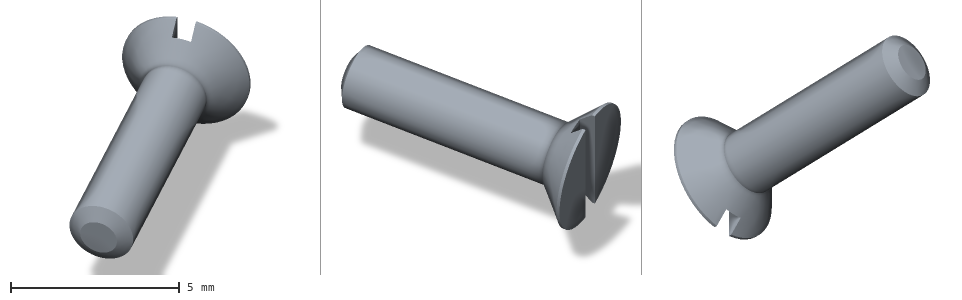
import cadquery as cq
import math

length = 8
shank_radius = 1.0
head_radius = 2 * shank_radius
rim_thickness = 0.1
slot_width = 0.6
slot_depth = 0.5
tip_radius = 0.58
tip_angle = 30

cone_height = head_radius - shank_radius
rim_start = length - rim_thickness
cone_start = rim_start - cone_height
tip_height = (shank_radius - tip_radius) * math.tan(math.radians(tip_angle))


def screw_body():
    """Revolve the half profile of tip, shank and head about the Y axis."""
    return (
        cq.Workplane("XY")
        .moveTo(0, 0)
        .lineTo(tip_radius, 0)
        .lineTo(shank_radius, tip_height)
        .lineTo(shank_radius, cone_start)
        .lineTo(head_radius, rim_start)
        .lineTo(head_radius, length)
        .lineTo(0, length)
        .close()
        .revolve(360, (0, 0, 0), (0, 1, 0))
    )


def driver_slot():
    """Straight slot running along Z across the whole head face."""
    slot_length = 2 * head_radius
    return (
        cq.Workplane("XY")
        .box(slot_width, slot_depth, slot_length)
        .translate((0, length - slot_depth / 2, 0))
    )


result = screw_body().cut(driver_slot())